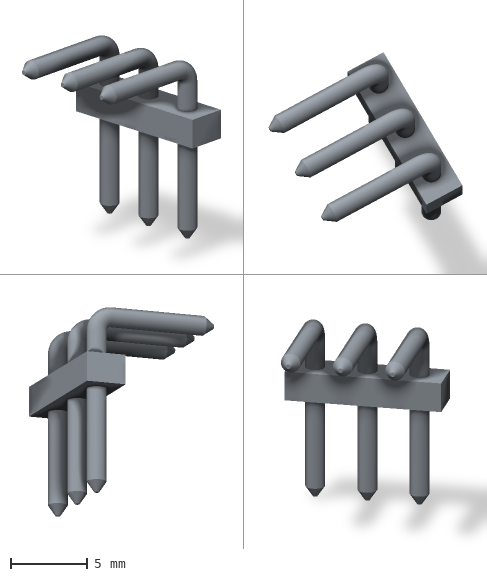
import cadquery as cq

block_length = 10.5
block_depth = 2.71
block_height = 2.0
block_bottom = 7.0

pin_count = 3
pin_pitch = 3.5
pin_diameter = 1.3
bend_radius = 1.0
total_height = 12.55
total_depth = 9.55

tip_length = 0.73
tip_diameter = 0.31

pin_radius = pin_diameter / 2
arm_height = total_height - pin_radius
front_end = block_depth / 2 - total_depth
leg_length = arm_height - bend_radius - tip_length
arm_length = -front_end - bend_radius - tip_length


def straight_end(plane, shank_length):
    """Round shank starting on the plane, followed by a blunt conical tip."""
    half_profile = (
        cq.Workplane("XZ")
        .polyline([
            (0, 0),
            (pin_radius, 0),
            (pin_radius, shank_length),
            (tip_diameter / 2, shank_length + tip_length),
            (0, shank_length + tip_length),
        ])
        .close()
    )
    shank = half_profile.revolve(360, (0, 0), (0, 1))
    return cq.Workplane(shank.val().moved(plane.location))


def bent_pin():
    """Vertical leg, quarter-turn elbow and horizontal arm pointing to -Y."""
    leg_start = (0, 0, arm_height - bend_radius)
    arm_start = (0, -bend_radius, arm_height)
    leg = straight_end(cq.Plane(leg_start, (1, 0, 0), (0, 0, -1)), leg_length)
    arm = straight_end(cq.Plane(arm_start, (1, 0, 0), (0, -1, 0)), arm_length)
    elbow = (
        cq.Workplane("XY", origin=leg_start)
        .circle(pin_radius)
        .revolve(90, (0, -bend_radius), (1, -bend_radius))
    )
    return leg.union(elbow).union(arm)


block = cq.Workplane("XY", origin=(0, 0, block_bottom)).box(
    block_length, block_depth, block_height, centered=(True, True, False)
)

result = block
pin = bent_pin()
for index in range(pin_count):
    pin_x = (index - (pin_count - 1) / 2) * pin_pitch
    result = result.union(pin.translate((pin_x, 0, 0)))